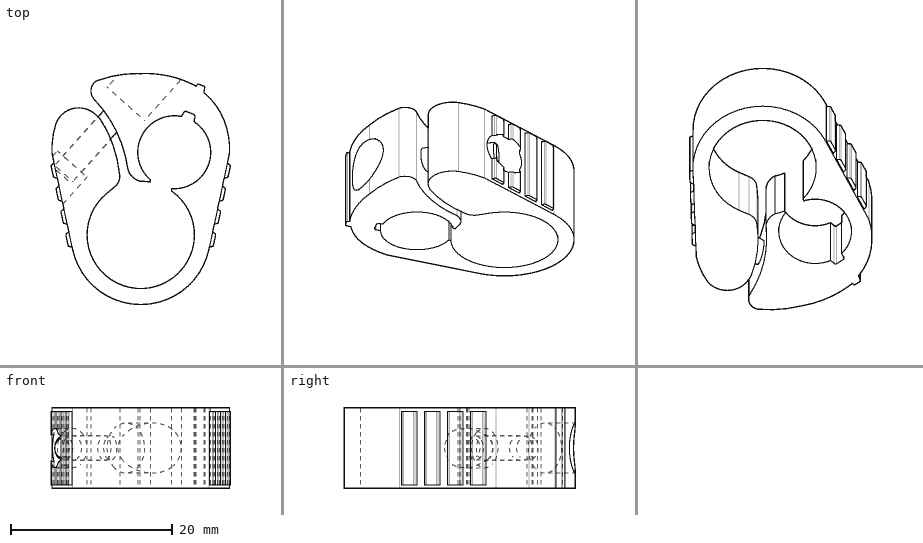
import cadquery as cq
import math

THICKNESS = 10.0
MID_Z = THICKNESS / 2
OUTER_RADIUS = 8.65
LARGE_BORE_RADIUS = 6.64
BODY_TOP_Y = 20.0

FLANK_ANGLE = 12.06
FLANK_TOP_Y = 10.18
COS_FLANK = math.cos(math.radians(FLANK_ANGLE))
SIN_FLANK = math.sin(math.radians(FLANK_ANGLE))

SMALL_BORE_CENTRE = (4.15, 10.24)
SMALL_BORE_RADIUS = 4.51
MOUTH_LEFT_X = 1.18
MOUTH_RIGHT_X = 3.80

HOOK_ROOT_X = -0.1
HOOK_FACE_MID_ANGLE = 85.0
ARM_ROOT_ANGLE = 130.0

SIDE_MID = (10.93, 12.0)
SIDE_JOINT = (10.33, 14.25)
SHOULDER_MID = (9.40, 15.95)
SHOULDER_START = (8.02, 17.48)
SHOULDER_END = (6.72, 18.54)
CROWN_RIGHT_MID = (3.40, 19.72)
BODY_TOP = (0, BODY_TOP_Y)
CROWN_LEFT_MID = (-2.80, 19.81)
HOOK_TIP_START = (-5.40, 19.14)
HOOK_TIP_MID = (-6.19, 17.95)
HOOK_TIP_END = (-5.88, 16.92)
HOOK_SLIT_MID = (-3.02, 12.82)
HOOK_SLIT_END = (-1.60, 8.10)
HOOK_HEEL_MID = (-1.15, 7.30)

ARM_CORNER_START = (-3.20, 5.97)
ARM_CORNER_MID = (-2.72, 6.60)
ARM_CORNER_END = (-2.61, 7.50)
ARM_SLIT_MID = (-3.37, 10.96)
ARM_SLIT_END = (-5.05, 14.38)
ARM_TIP_START = (-5.60, 14.93)
ARM_TIP_MID = (-7.70, 15.76)
ARM_TIP_END = (-10.55, 13.72)
ARM_SIDE_MID = (-10.95, 11.85)

KEY_ANGLE = 68.0
KEY_GROOVE_RADIUS = 5.24
KEY_GROOVE_BASE_RADIUS = 4.2
KEY_GROOVE_BASE_WIDTH = 1.75
KEY_GROOVE_TOP_WIDTH = 1.4
KEY_RIB_RADIUS = 8.98
KEY_RIB_BASE_RADIUS = 7.9
KEY_RIB_BASE_WIDTH = 1.5
KEY_RIB_TOP_WIDTH = 0.95
KEY_GROOVE_ROUNDING = 0.25
KEY_RIB_ROUNDING = 0.15

RIB_COUNT = 4
RIB_PITCH = 2.91
RIB_FIRST_Y = 7.96
RIB_BASE_LENGTH = 1.96
RIB_TOP_LENGTH = 1.5
RIB_HEIGHT = 0.445
RIB_ROOT = 0.3
RIB_ROUNDING = 0.2
RIB_END_MARGIN = 0.45

PIN_ANGLE = 48.3
PIN_AXIS_Y = 18.32
PIN_RADIUS = 1.5
PIN_CHAMFER = 0.3
PIN_END_STATION = -0.97
PIN_ROOT_STATION = 9.5
PIN_HOLE_RADIUS = 1.55
GAP_STATION = 7.45
NUT_BORE_RADIUS = 2.45
NUT_BORE_FLOOR_STATION = 0.9
HEAD_BORE_RADIUS = 3.1
HEAD_BORE_FLOOR_STATION = 10.9
BORE_OVERRUN = 12.0

PIN_DIRECTION = cq.Vector(math.cos(math.radians(PIN_ANGLE)), math.sin(math.radians(PIN_ANGLE)), 0)


def flank_x(y):
    """Half-width of the body at height y on the straight flank."""
    return (OUTER_RADIUS + y * SIN_FLANK) / COS_FLANK


def circle_point(centre, radius, angle):
    """Point on a circle at the given angle in degrees."""
    a = math.radians(angle)
    return (centre[0] + radius * math.cos(a), centre[1] + radius * math.sin(a))


def circle_y(centre, radius, x, side):
    """Y of a circle at x, on its upper (side=1) or lower (side=-1) half."""
    return centre[1] + side * math.sqrt(radius ** 2 - (x - centre[0]) ** 2)


def make_body():
    """Clip outline: outside edge, slit between the two arms and both bores."""
    origin = (0, 0)
    flank_foot = (OUTER_RADIUS * COS_FLANK, -OUTER_RADIUS * SIN_FLANK)
    flank_top = (flank_x(FLANK_TOP_Y), FLANK_TOP_Y)
    mouth_right_low = (MOUTH_RIGHT_X, circle_y(origin, LARGE_BORE_RADIUS, MOUTH_RIGHT_X, 1))
    mouth_right_high = (MOUTH_RIGHT_X, circle_y(SMALL_BORE_CENTRE, SMALL_BORE_RADIUS, MOUTH_RIGHT_X, -1))
    mouth_left_low = (MOUTH_LEFT_X, circle_y(origin, LARGE_BORE_RADIUS, MOUTH_LEFT_X, 1))
    mouth_left_high = (MOUTH_LEFT_X, circle_y(SMALL_BORE_CENTRE, SMALL_BORE_RADIUS, MOUTH_LEFT_X, -1))
    hook_root = (HOOK_ROOT_X, circle_y(origin, LARGE_BORE_RADIUS, HOOK_ROOT_X, 1))
    hook_face_mid = circle_point(origin, LARGE_BORE_RADIUS, HOOK_FACE_MID_ANGLE)
    arm_root = circle_point(origin, LARGE_BORE_RADIUS, ARM_ROOT_ANGLE)
    small_bore_far = circle_point(SMALL_BORE_CENTRE, SMALL_BORE_RADIUS, KEY_ANGLE)
    large_bore_bottom = (0, -LARGE_BORE_RADIUS)

    outline = (
        cq.Workplane("XY")
        .moveTo(-flank_foot[0], flank_foot[1])
        .threePointArc((0, -OUTER_RADIUS), flank_foot)
        .lineTo(*flank_top)
        .threePointArc(SIDE_MID, SIDE_JOINT)
        .threePointArc(SHOULDER_MID, SHOULDER_START)
        .lineTo(*SHOULDER_END)
        .threePointArc(CROWN_RIGHT_MID, BODY_TOP)
        .threePointArc(CROWN_LEFT_MID, HOOK_TIP_START)
        .threePointArc(HOOK_TIP_MID, HOOK_TIP_END)
        .threePointArc(HOOK_SLIT_MID, HOOK_SLIT_END)
        .threePointArc(HOOK_HEEL_MID, hook_root)
        .threePointArc(hook_face_mid, mouth_left_low)
        .lineTo(*mouth_left_high)
        .threePointArc(small_bore_far, mouth_right_high)
        .lineTo(*mouth_right_low)
        .threePointArc(large_bore_bottom, arm_root)
        .lineTo(*ARM_CORNER_START)
        .threePointArc(ARM_CORNER_MID, ARM_CORNER_END)
        .threePointArc(ARM_SLIT_MID, ARM_SLIT_END)
        .lineTo(*ARM_TIP_START)
        .threePointArc(ARM_TIP_MID, ARM_TIP_END)
        .threePointArc(ARM_SIDE_MID, (-flank_top[0], flank_top[1]))
        .close()
    )
    return outline.extrude(THICKNESS)


def make_key(inner_radius, outer_radius, base_width, top_width, rounding):
    """Tapered bar pointing along the key direction, with rounded outer corners."""
    bar = (
        cq.Workplane("XY")
        .polyline([
            (inner_radius, -base_width / 2),
            (outer_radius, -top_width / 2),
            (outer_radius, top_width / 2),
            (inner_radius, base_width / 2),
        ])
        .close()
        .extrude(THICKNESS)
        .edges("|Z and >X")
        .fillet(rounding)
    )
    return bar.rotate((0, 0, 0), (0, 0, 1), KEY_ANGLE).translate((*SMALL_BORE_CENTRE, 0))


def make_key_rib():
    """Outer rib that marks the key position."""
    return make_key(
        KEY_RIB_BASE_RADIUS, KEY_RIB_RADIUS, KEY_RIB_BASE_WIDTH, KEY_RIB_TOP_WIDTH, KEY_RIB_ROUNDING
    )


def make_key_groove():
    """Cutter for the key groove in the small bore."""
    return make_key(
        KEY_GROOVE_BASE_RADIUS,
        KEY_GROOVE_RADIUS,
        KEY_GROOVE_BASE_WIDTH,
        KEY_GROOVE_TOP_WIDTH,
        KEY_GROOVE_ROUNDING,
    )


def make_rib(index):
    """One tapered grip rib on the right flank."""
    rib = (
        cq.Workplane("XY")
        .polyline([
            (-RIB_ROOT, -RIB_BASE_LENGTH / 2),
            (0, -RIB_BASE_LENGTH / 2),
            (RIB_HEIGHT, -RIB_TOP_LENGTH / 2),
            (RIB_HEIGHT, RIB_TOP_LENGTH / 2),
            (0, RIB_BASE_LENGTH / 2),
            (-RIB_ROOT, RIB_BASE_LENGTH / 2),
        ])
        .close()
        .extrude(THICKNESS - 2 * RIB_END_MARGIN)
        .edges("|Z and >X")
        .fillet(RIB_ROUNDING)
    )
    y = RIB_FIRST_Y - index * RIB_PITCH * COS_FLANK
    return rib.rotate((0, 0, 0), (0, 0, 1), -FLANK_ANGLE).translate((flank_x(y), y, RIB_END_MARGIN))


def axis_cylinder(radius, start, end):
    """Cylinder along the pin axis between two stations on it."""
    foot = cq.Vector(0, PIN_AXIS_Y, MID_Z)
    foot = foot - PIN_DIRECTION * (PIN_AXIS_Y * PIN_DIRECTION.y)
    base = foot + PIN_DIRECTION * start
    return cq.Workplane(cq.Solid.makeCylinder(radius, end - start, base, PIN_DIRECTION))


def make_pin():
    """Clamping pin with a chamfered free end."""
    pin = axis_cylinder(PIN_RADIUS, PIN_END_STATION, PIN_ROOT_STATION)
    return pin.faces("<X").chamfer(PIN_CHAMFER)


body = make_body()
body = body.union(make_key_rib()).cut(make_key_groove())
for rib_index in range(RIB_COUNT):
    right_rib = make_rib(rib_index)
    body = body.union(right_rib).union(right_rib.mirror("YZ"))

body = body.cut(axis_cylinder(NUT_BORE_RADIUS, -BORE_OVERRUN, NUT_BORE_FLOOR_STATION))
body = body.cut(axis_cylinder(PIN_HOLE_RADIUS, PIN_END_STATION, GAP_STATION))
body = body.cut(axis_cylinder(HEAD_BORE_RADIUS, HEAD_BORE_FLOOR_STATION, HEAD_BORE_FLOOR_STATION + BORE_OVERRUN))
result = body.union(make_pin())